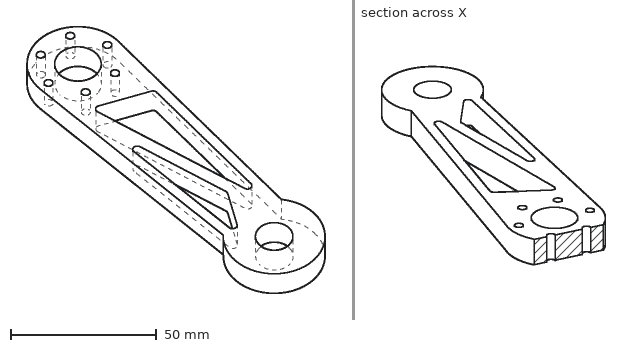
import cadquery as cq
import math

thickness = 10.0
end_radius = 17.5
end_spacing = 105.0
end_drop = 2.7
main_bore_radius = 8.0
far_bore_radius = 6.5

bolt_count = 6
bolt_circle_radius = 13.5
bolt_hole_radius = 1.5
first_bolt_angle = 90

arm_far_half_width = 12.5
rim_width = 3.9
brace_width = 4.9
brace_angle = 13.3
brace_top_intercept = -14.7
upper_window_side_x = 22.3
upper_window_side_angle = 69.5
lower_window_side_x = 76.8
lower_window_side_angle = -28.9
window_corner_radius = 1.5


def line_at(x, y, angle):
    """Slope and y intercept of the line through (x, y) at an angle in degrees."""
    slope = math.tan(math.radians(angle))
    return slope, y - slope * x


def shifted(line, distance):
    """Parallel line, moved up by a perpendicular distance."""
    slope, intercept = line
    return slope, intercept + distance * math.hypot(1, slope)


def crossing(first, second):
    """Point where two lines meet."""
    x = (second[1] - first[1]) / (first[0] - second[0])
    return x, first[0] * x + first[1]


def disc(x, y, radius):
    return cq.Workplane("XY").center(x, y).circle(radius).extrude(thickness)


def window(sides):
    """Rounded triangular cutter bounded by three lines."""
    corners = [crossing(sides[i - 1], sides[i]) for i in range(len(sides))]
    prism = cq.Workplane("XY").polyline(corners).close().extrude(thickness)
    return prism.edges("|Z").fillet(window_corner_radius)


far_top = -end_drop + arm_far_half_width
far_bottom = -end_drop - arm_far_half_width
arm_corners = [
    (0, end_radius),
    (end_spacing, far_top),
    (end_spacing, far_bottom),
    (0, -end_radius),
]
arm = cq.Workplane("XY").polyline(arm_corners).close().extrude(thickness)
plate = arm.union(disc(0, 0, end_radius)).union(disc(end_spacing, -end_drop, end_radius))

plate = plate.cut(disc(0, 0, main_bore_radius))
plate = plate.cut(disc(end_spacing, -end_drop, far_bore_radius))
bolt_holes = (
    cq.Workplane("XY")
    .polarArray(bolt_circle_radius, first_bolt_angle, 360, bolt_count)
    .circle(bolt_hole_radius)
    .extrude(thickness)
)
plate = plate.cut(bolt_holes)

arm_top = ((far_top - end_radius) / end_spacing, end_radius)
arm_bottom = ((far_bottom + end_radius) / end_spacing, -end_radius)
brace_top = line_at(0, brace_top_intercept, brace_angle)
brace_bottom = shifted(brace_top, -brace_width)
upper_side = line_at(upper_window_side_x, 0, upper_window_side_angle)
lower_side = line_at(lower_window_side_x, 0, lower_window_side_angle)

upper_window = window([shifted(arm_top, -rim_width), upper_side, brace_top])
lower_window = window([shifted(arm_bottom, rim_width), brace_bottom, lower_side])
result = plate.cut(upper_window).cut(lower_window)